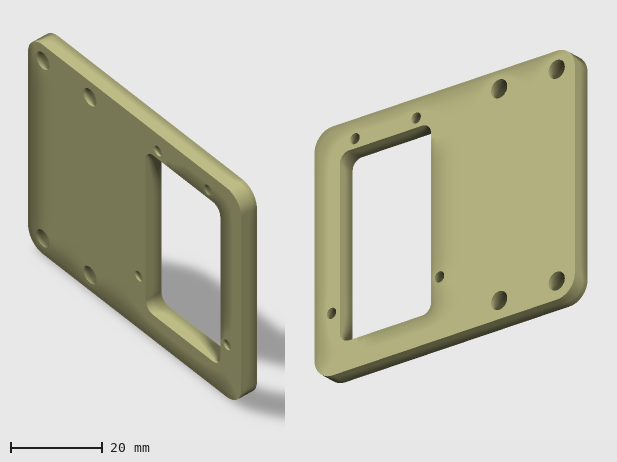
import cadquery as cq

plate_width = 72.25
plate_height = 60.0
plate_thickness = 4.5
plate_corner_radius = 5.0

window_width = 25.3
window_height = 45.7
window_corner_radius = 2.5
window_center_x = 16.4

mount_hole_diameter = 4.5
mount_center_x = -23.1
mount_spacing_x = 16.0
mount_spacing_z = 51.0

small_hole_diameter = 2.6
upper_pair_spacing = 17.0
upper_pair_z = 25.2
lower_pair_spacing = 30.0
lower_pair_z = -14.95


def rounded_block(width, height, corner_radius):
    """Block of the plate's thickness with rounded corners, centred on the origin."""
    block = cq.Workplane("XY").box(width, plate_thickness, height)
    return block.edges("|Y").fillet(corner_radius)


def through_holes(centers, diameter):
    """Cylinders spanning the plate thickness at the given (x, z) centres."""
    workplane = cq.Workplane("XZ").pushPoints(centers)
    return workplane.circle(diameter / 2).extrude(plate_thickness, both=True)


def pair_centers(spacing, z):
    """Two hole centres placed evenly about the window centreline."""
    return [(window_center_x + side * spacing / 2, z) for side in (-1, 1)]


plate = rounded_block(plate_width, plate_height, plate_corner_radius)
window = rounded_block(window_width, window_height, window_corner_radius)
window = window.translate((window_center_x, 0, 0))

mount_centers = [
    (mount_center_x + side_x * mount_spacing_x / 2, side_z * mount_spacing_z / 2)
    for side_x in (-1, 1)
    for side_z in (-1, 1)
]
small_centers = pair_centers(upper_pair_spacing, upper_pair_z)
small_centers += pair_centers(lower_pair_spacing, lower_pair_z)

result = (
    plate.cut(window)
    .cut(through_holes(mount_centers, mount_hole_diameter))
    .cut(through_holes(small_centers, small_hole_diameter))
)